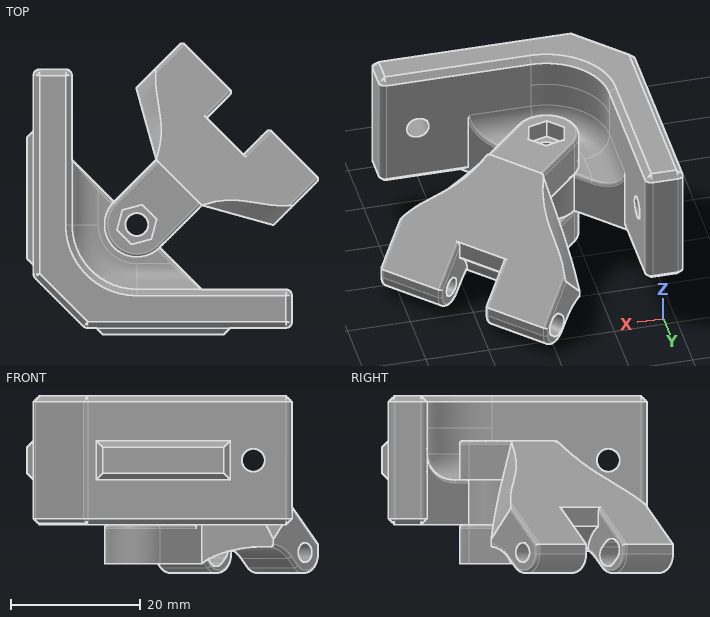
import cadquery as cq
import math

LEG_LENGTH = 40.0
LEG_HEIGHT = 20.0
LEG_THICKNESS = 6.0
CORNER_CUT = 8.0
INNER_RADIUS = 10.0
EDGE = 1.0
HINGE = LEG_THICKNESS + INNER_RADIUS

RIB_LENGTH = 20.7
RIB_WIDTH = 6.0
RIB_HEIGHT = 1.0
RIB_CENTRE = 20.1
SCREW_DIAMETER = 3.5
SCREW_POSITION = 34.0

TONGUE_TOP = 7.0
LEDGE_FILLET = 4.0

HUB_RADIUS = 5.0
LUG_THICKNESS = 6.0
CLIP_TOP = TONGUE_TOP + LUG_THICKNESS
HUB_END = 9.2
SLOT_END = 8.0
SOFT_EDGE = 0.5
NUT_FLATS = 5.5
NUT_DEPTH = 3.0

CLIP_HALF_WIDTH = 15.0
BARREL_RADIUS = 3.0
BARREL_U = 21.93
BARREL_Z = -4.45
JAW_END = BARREL_U + BARREL_RADIUS
SLOPE_END_Z = -2.95
ARCH_RADIUS = 6.0
FLAT_LENGTH = 2.05
NOTCH_HALF_WIDTH = 4.0
NOTCH_START = 19.3
NOTCH_CLEARANCE = 5.0

PIN_U = 21.75
PIN_Z = -4.25
PIN_DIAMETER = 3.0
PIN_SLOT_DIAMETER = 3.5
PIN_SLOT_TRAVEL = 1.1

FLANK_END_U = 14.85
FLANK_STATIONS = [
    (HUB_RADIUS, 12.5, HUB_END),
    (7.0, 10.0, 12.3),
    (10.5, 5.6, 15.3),
    (CLIP_HALF_WIDTH, -2.2, 19.3),
]

SPACE_FLOOR = BARREL_Z - 2 * BARREL_RADIUS
SPACE_CEILING = CLIP_TOP + 1
SPACE_END = BARREL_U + 2 * BARREL_RADIUS

TOLERANCE = 0.001
DIAGONAL = math.sqrt(0.5)


def leg_outline():
    inner = LEG_THICKNESS
    return (
        cq.Workplane("XY")
        .moveTo(CORNER_CUT, 0)
        .lineTo(LEG_LENGTH, 0)
        .lineTo(LEG_LENGTH, inner)
        .lineTo(HINGE, inner)
        .radiusArc((inner, HINGE), INNER_RADIUS)
        .lineTo(inner, LEG_LENGTH)
        .lineTo(0, LEG_LENGTH)
        .lineTo(0, CORNER_CUT)
        .close()
    )


def leg_pair():
    """Two walls at a right angle, with rounded upright corners and chamfered top and bottom."""
    def inset():
        return leg_outline().offset2D(-EDGE, "intersection")

    lower_chamfer = inset().extrude(EDGE, taper=-45)
    upper_chamfer = lower_chamfer.mirror("XY").translate((0, 0, LEG_HEIGHT))
    middle = inset().offset2D(EDGE, "arc").extrude(LEG_HEIGHT - 2 * EDGE).translate((0, 0, EDGE))
    return middle.union(lower_chamfer).union(upper_chamfer)


def ledge():
    """Ledge in the inner corner, blended into both walls and cut off along the diagonal."""
    floor = cq.Workplane("XY").rect(LEG_LENGTH, LEG_LENGTH, centered=False).extrude(TONGUE_TOP)
    block = leg_outline().extrude(LEG_HEIGHT).union(floor)

    def is_inner_corner(edge):
        middle = edge.positionAt(0.5)
        return abs(middle.z - TONGUE_TOP) < EDGE and LEG_THICKNESS - EDGE < min(middle.x, middle.y) < HINGE

    block = block.edges().filter(is_inner_corner).fillet(LEDGE_FILLET)
    corner_side = (
        cq.Workplane("XY")
        .polyline([(EDGE, CORNER_CUT), (CORNER_CUT, EDGE), (2 * HINGE - EDGE, EDGE), (EDGE, 2 * HINGE - EDGE)])
        .close()
        .extrude(TONGUE_TOP + 2 * LEDGE_FILLET)
    )
    block = block.intersect(corner_side)
    diagonal_face = cq.selectors.DirectionMinMaxSelector(cq.Vector(1, 1, 0), True)
    upper_edges = cq.selectors.BoxSelector(
        (LEG_THICKNESS, LEG_THICKNESS, TONGUE_TOP - EDGE),
        (2 * HINGE, 2 * HINGE, TONGUE_TOP + LEDGE_FILLET),
    )
    return block.faces(diagonal_face).edges(upper_edges).fillet(SOFT_EDGE)


def rib():
    """Raised rib on the outside of the leg along X."""
    return (
        cq.Workplane("XZ", origin=(RIB_CENTRE, 0, LEG_HEIGHT / 2))
        .rect(RIB_LENGTH, RIB_WIDTH)
        .extrude(RIB_HEIGHT, taper=45)
    )


def screw_hole():
    """Drill through the leg along X."""
    return (
        cq.Workplane("XZ", origin=(SCREW_POSITION, LEG_THICKNESS, LEG_HEIGHT / 2))
        .circle(SCREW_DIAMETER / 2)
        .extrude(LEG_THICKNESS)
    )


def other_leg(feature):
    """Mirror a feature of the leg along X onto the leg along Y."""
    return feature.mirror("YZ").rotate((0, 0, 0), (0, 0, 1), -90)


def build_bracket():
    tongue = cq.Workplane("XY", origin=(HINGE, HINGE, 0)).circle(HUB_RADIUS).extrude(TONGUE_TOP)
    body = leg_pair().union(ledge()).union(tongue)
    body = body.union(rib()).union(other_leg(rib()))
    body = body.cut(screw_hole()).cut(other_leg(screw_hole()))
    axis_hole = cq.Workplane("XY", origin=(HINGE, HINGE, 0)).circle(SCREW_DIAMETER / 2).extrude(TONGUE_TOP)
    return body.cut(axis_hole)


def slope_height(u):
    return CLIP_TOP + (SLOPE_END_Z - CLIP_TOP) * (u - HUB_END) / (JAW_END - HUB_END)


def side_profile():
    """Side outline of the clip, swept over its full width."""
    reach = DIAGONAL * BARREL_RADIUS
    flat = DIAGONAL * FLAT_LENGTH
    flat_low = (BARREL_U - reach, BARREL_Z - reach)
    flat_high = (flat_low[0] - flat, flat_low[1] + flat)
    arch_u = flat_high[0] - DIAGONAL * ARCH_RADIUS
    arch_z = flat_high[1] - DIAGONAL * ARCH_RADIUS
    arch_start = arch_u - math.sqrt(ARCH_RADIUS**2 - (arch_z + LUG_THICKNESS) ** 2)
    return (
        cq.Workplane("XZ", origin=(0, CLIP_HALF_WIDTH, 0))
        .moveTo(-HUB_RADIUS, -LUG_THICKNESS)
        .lineTo(arch_start, -LUG_THICKNESS)
        .threePointArc((arch_u, arch_z + ARCH_RADIUS), flat_high)
        .lineTo(*flat_low)
        .threePointArc((BARREL_U + reach, BARREL_Z - reach), (JAW_END, BARREL_Z))
        .lineTo(JAW_END, SLOPE_END_Z)
        .lineTo(HUB_END, CLIP_TOP)
        .lineTo(-HUB_RADIUS, CLIP_TOP)
        .close()
        .extrude(2 * CLIP_HALF_WIDTH)
    )


def flank_section(v, knee_z, top_u):
    """Section of the space a jaw may fill, bounded at the back by its flank."""
    share = (v - HUB_RADIUS) / (CLIP_HALF_WIDTH - HUB_RADIUS)
    foot_u = HUB_END + share * (FLANK_END_U - HUB_END)
    corners = [
        (foot_u, SPACE_FLOOR),
        (foot_u, knee_z),
        (top_u, slope_height(top_u)),
        (top_u, SPACE_CEILING),
        (SPACE_END, SPACE_CEILING),
        (SPACE_END, SPACE_FLOOR),
    ]
    return cq.Wire.makePolygon([cq.Vector(u, v, z) for u, z in corners], close=True)


def jaw_space():
    """Space for the jaw on the +v side: its back flares from the hub's edge to the outer end."""
    return cq.Workplane(cq.Solid.makeLoft([flank_section(*station) for station in FLANK_STATIONS]))


def centre_space():
    """Space for the hub: round about the hinge axis, straight towards the jaws."""
    base = cq.Workplane("XY", origin=(0, 0, SPACE_FLOOR))
    height = SPACE_CEILING - SPACE_FLOOR
    straight = base.center(SPACE_END / 2, 0).rect(SPACE_END, 2 * HUB_RADIUS).extrude(height)
    return straight.union(base.circle(HUB_RADIUS).extrude(height))


def soften_lugs(body):
    """Round the upper rim of both hinge lugs, on the sides and around the end."""
    def is_lug_rim(edge):
        middle = edge.positionAt(0.5)
        at_top = min(abs(middle.z), abs(middle.z - CLIP_TOP)) < TOLERANCE
        at_side = max(abs(middle.y), -middle.x) > HUB_RADIUS - TOLERANCE
        return at_top and at_side and middle.x < HUB_END - TOLERANCE

    return body.edges().filter(is_lug_rim).fillet(SOFT_EDGE)


def soften_jaws(body):
    """Round the outline of each jaw's outer and inner face, except along its back."""
    def is_jaw_rim(edge):
        start, middle, end = (edge.positionAt(t) for t in (0, 0.5, 1))
        in_one_plane = max(abs(start.y - middle.y), abs(end.y - middle.y)) < TOLERANCE
        outer = abs(abs(middle.y) - CLIP_HALF_WIDTH) < TOLERANCE and edge.geomType() != "BSPLINE"
        radius = math.hypot(middle.x - BARREL_U, middle.z - BARREL_Z)
        at_notch_back = min(abs(middle.x - NOTCH_START), abs(radius - NOTCH_CLEARANCE)) < TOLERANCE
        inner = abs(abs(middle.y) - NOTCH_HALF_WIDTH) < TOLERANCE and not at_notch_back
        return in_one_plane and (outer or inner)

    return body.edges().filter(is_jaw_rim).fillet(SOFT_EDGE)


def lug_slot():
    """Slot between the lugs that takes the bracket's tongue."""
    length = HUB_RADIUS + SLOT_END
    return (
        cq.Workplane("XY", origin=((SLOT_END - HUB_RADIUS) / 2, 0, 0))
        .rect(length, 2 * HUB_RADIUS)
        .extrude(TONGUE_TOP)
    )


def jaw_notch():
    """Gap between the two jaws, with room below it for a round knuckle on the barrel axis."""
    length = SPACE_END - NOTCH_START
    height = 2 * SPACE_CEILING
    width = 2 * NOTCH_HALF_WIDTH
    gap = cq.Workplane("XY", origin=(NOTCH_START + length / 2, 0, 0)).box(length, width, height)
    knuckle = (
        cq.Workplane("XZ", origin=(BARREL_U, NOTCH_HALF_WIDTH, BARREL_Z))
        .circle(NOTCH_CLEARANCE)
        .extrude(width)
    )
    return gap.union(knuckle)


def hinge_hole():
    """Hinge screw hole through both lugs with a nut recess in the top."""
    hole = cq.Workplane("XY", origin=(0, 0, -LUG_THICKNESS)).circle(SCREW_DIAMETER / 2)
    recess = (
        cq.Workplane("XY", origin=(0, 0, CLIP_TOP - NUT_DEPTH))
        .polygon(6, NUT_FLATS, circumscribed=True)
        .extrude(NUT_DEPTH)
    )
    return hole.extrude(CLIP_TOP + LUG_THICKNESS).union(recess)


def pin_holes():
    """Round pin hole through the -v jaw and a hole slotted along 45 degrees through the +v jaw."""
    round_hole = (
        cq.Workplane("XZ", origin=(PIN_U, 0, PIN_Z))
        .circle(PIN_DIAMETER / 2)
        .extrude(CLIP_HALF_WIDTH)
    )
    slotted_hole = (
        cq.Workplane("XZ", origin=(PIN_U, CLIP_HALF_WIDTH, PIN_Z))
        .slot2D(PIN_SLOT_DIAMETER + PIN_SLOT_TRAVEL, PIN_SLOT_DIAMETER, 45)
        .extrude(CLIP_HALF_WIDTH)
    )
    return round_hole.union(slotted_hole)


def build_clip():
    jaw = jaw_space()
    space = centre_space().union(jaw).union(jaw.mirror("XZ"))
    body = side_profile().intersect(space)
    body = body.cut(jaw_notch()).cut(lug_slot())
    body = soften_jaws(soften_lugs(body))
    body = body.cut(hinge_hole()).cut(pin_holes())
    return body.rotate((0, 0, 0), (0, 0, 1), 45).translate((HINGE, HINGE, 0))


bracket = build_bracket()
clip = build_clip()
result = cq.Compound.makeCompound([bracket.val(), clip.val()])